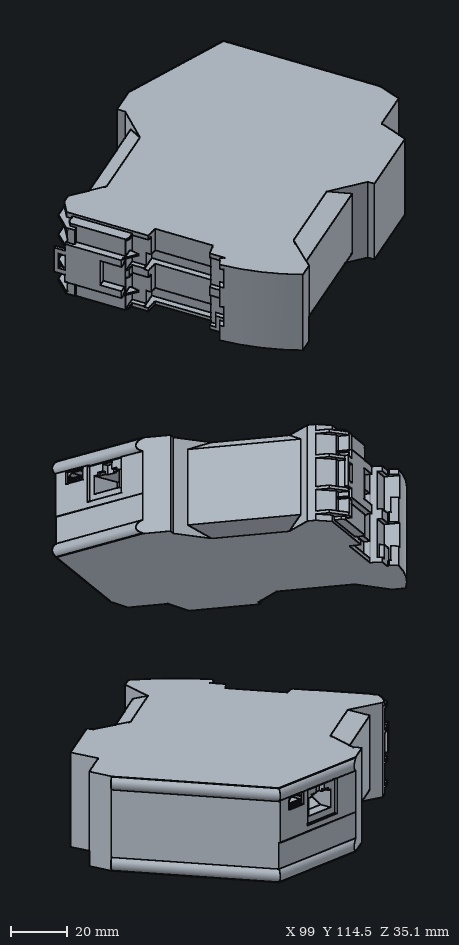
import cadquery as cq
import math

width = 99.0
height = 114.5
thickness = 35.1

bead_height = 1.1
bead_width = 4.8
bead_centre = 2.6
bead_end_x = 79.5
bead_embed = 0.6

body_top = height - bead_height
slope_foot_y = 74.6
slope_top_x = 19.2
shoulder_x = 88.2
shoulder_y = 109.9
step_low_y = 90.9
step_high_y = 95.0
head_bottom_y = 64.3
lower_left_x = 3.2
lower_right_x = 95.9
head_right_x = 96.5
waist_left_x = 13.6
waist_right_x = 85.4
waist_top_y = 53.7
waist_bottom_y = 25.0
foot_top_y = 14.7
base_y = 6.5
foot_chamfer_x = 6.4
foot_chamfer_y = 11.6
notch_floor_y = 10.9
notch_left_x = 37.8
notch_left_top_x = 38.5
notch_right_x = 61.4
notch_right_top_x = 60.7
hook_root_x = 67.2
hook_nose = (65.7, 5.5)
hook_tip = (67.0, 2.4)
belly_mid = (82.4, 4.8)
belly_end_y = 9.4

terminal_left_x = 7.1
terminal_right_x = 92.3
terminal_bevel_z = 3.8

pocket_floor_y = 8.2
pocket_left_x = 30.8
pocket_spans = ((1.8, 15.8), (19.5, 33.2))
groove_spans = ((1.6, 7.8), (19.0, 25.2))
groove_floor_y = 13.2
groove_start_x = 36.2
hook_cut_x = 68.5
hook_undercut_y = 4.9
hook_cut_spans = ((7.0, 15.8), (24.8, 33.2))
hook_block_left_x = 62.9
hook_block_slope = 0.8

latch_left_x = 8.6
latch_right_x = 31.6
latch_bottom_y = 2.6
latch_chamfer_x = 0.9
latch_chamfer_y = 1.4
latch_margin_z = 1.1
post_left_x = 9.0
post_right_x = 11.8
rib_thickness = 1.1
rib_bottoms = (2.3, 11.2, 22.8, 31.7)
rib_span = (rib_bottoms[0], rib_bottoms[-1] + rib_thickness)
rib_foot_y = 1.1
rib_wall_y = 5.3
rib_wall_slope = (foot_chamfer_x - lower_left_x) / (foot_chamfer_y - base_y)
rib_wall_x = lower_left_x + rib_wall_slope * (foot_chamfer_y - rib_wall_y)
tongue_z = (8.7, 26.2)
tongue_right_x = 30.3
tab_left_x = 4.4
tab_thickness = 1.1
tab_z = (11.9, 23.1)
tab_slot_x = (6.0, 8.7)
tab_slot_z = (14.2, 20.8)
tongue_notch_x = 22.2
cheek_thickness = 0.7
cheek_nose = (34.5, 5.5)
cheek_nose_top = (31.7, 6.2)
cheek_nose_bottom_y = 1.4

panel_lead_x = 0.5
panel_bottom_z = 14.8

socket_top_z = 30.3
jack_recess_depth = 1.0
usb_recess_depth = 0.6
jack_recess_s = (10.6, 27.4)
jack_recess_z = 17.1
jack_s = (12.8, 25.1)
jack_z = (19.7, 26.3)
jack_depth = 11.5
jack_ramp_start = 4.6
jack_ramp_end_z = 23.7
jack_clip_steps = (
    ((14.2, 23.4), 27.2, 1.1),
    ((16.5, 20.8), 29.8, 2.3),
)
usb_recess_s = (29.7, 37.9)
usb_recess_z = 25.6
usb_s = (30.0, 37.1)
usb_z = (26.3, 29.5)
usb_corner = 1.1
usb_depth = 7.4
usb_tongue_s = (30.6, 36.5)
usb_tongue_z = (27.0, 27.6)


def box(x_span, y_span, z_span):
    """Axis-aligned box between the given limits."""
    size = [span[1] - span[0] for span in (x_span, y_span, z_span)]
    corner = (x_span[0], y_span[0], z_span[0])
    return cq.Workplane("XY").box(*size, centered=False).translate(corner)


def plate(points, z_span):
    """Polygon in XY extruded between two Z levels."""
    sketch = cq.Workplane("XY").workplane(offset=z_span[0]).polyline(points).close()
    return sketch.extrude(z_span[1] - z_span[0])


def make_body():
    return (
        cq.Workplane("XY")
        .moveTo(0, head_bottom_y)
        .lineTo(0, slope_foot_y)
        .lineTo(slope_top_x, body_top)
        .lineTo(bead_end_x, body_top)
        .lineTo(shoulder_x, shoulder_y)
        .lineTo(shoulder_x, step_high_y)
        .lineTo(width, step_low_y)
        .lineTo(width, head_bottom_y)
        .lineTo(head_right_x, head_bottom_y)
        .lineTo(waist_right_x, waist_top_y)
        .lineTo(waist_right_x, waist_bottom_y)
        .lineTo(lower_right_x, foot_top_y)
        .lineTo(lower_right_x, belly_end_y)
        .threePointArc(belly_mid, hook_tip)
        .lineTo(*hook_nose)
        .lineTo(hook_root_x, base_y)
        .lineTo(notch_right_x, base_y)
        .lineTo(notch_right_top_x, notch_floor_y)
        .lineTo(notch_left_top_x, notch_floor_y)
        .lineTo(notch_left_x, base_y)
        .lineTo(foot_chamfer_x, base_y)
        .lineTo(lower_left_x, foot_chamfer_y)
        .lineTo(lower_left_x, foot_top_y)
        .lineTo(waist_left_x, waist_bottom_y)
        .lineTo(waist_left_x, waist_top_y)
        .lineTo(lower_left_x, head_bottom_y)
        .close()
        .extrude(thickness)
    )


def make_terminal(waist_x, outer_x, top_end_x, bottom_end_x):
    """Bevelled block in the waist, ending on the sloping waist walls."""
    top_slope = (head_bottom_y - waist_top_y) / (top_end_x - waist_x)
    bottom_slope = (foot_top_y - waist_bottom_y) / (bottom_end_x - waist_x)
    reach = outer_x - waist_x
    outline = [
        (waist_x, waist_bottom_y),
        (waist_x, waist_top_y),
        (outer_x, waist_top_y + top_slope * reach),
        (outer_x, waist_bottom_y + bottom_slope * reach),
    ]
    bevelled = (
        cq.Workplane("XZ")
        .polyline([
            (waist_x, 0),
            (outer_x, terminal_bevel_z),
            (outer_x, thickness - terminal_bevel_z),
            (waist_x, thickness),
        ])
        .close()
        .extrude(-height)
    )
    return plate(outline, (0, thickness)).intersect(bevelled)


def make_bead(centre_z):
    """Segment-shaped ridge along the sloped face and the top face."""
    slope = (body_top - slope_foot_y) / slope_top_x
    start_x = -bead_width
    start = (start_x, slope_foot_y + slope * start_x, centre_z)
    profile_plane = cq.Plane(origin=start, xDir=(0, 0, 1), normal=(1, slope, 0))
    half = bead_width / 2
    path = (
        cq.Workplane("XY", origin=(0, 0, centre_z))
        .polyline([start[:2], (slope_top_x, body_top), (bead_end_x, body_top)])
    )
    bead = (
        cq.Workplane(profile_plane)
        .moveTo(-half, bead_embed)
        .lineTo(-half, 0)
        .threePointArc((0, -bead_height), (half, 0))
        .lineTo(half, bead_embed)
        .close()
        .sweep(path, transition="right")
    )
    return bead.intersect(box((0, width), (0, height), (0, thickness)))


def cut_rail_seat(body):
    """Pockets, grooves and hook relief around the rail notch."""
    for span in pocket_spans:
        body = body.cut(box((pocket_left_x, notch_left_top_x), (0, pocket_floor_y), span))
        body = body.cut(box((notch_right_top_x, hook_cut_x), (hook_undercut_y, pocket_floor_y), span))
    for span in groove_spans:
        body = body.cut(box((groove_start_x, notch_right_top_x), (0, groove_floor_y), span))
    for span in hook_cut_spans:
        body = body.cut(box((notch_right_top_x, hook_cut_x), (0, pocket_floor_y), span))
    block = [
        (hook_block_left_x, pocket_floor_y),
        (hook_block_left_x + hook_block_slope, base_y),
        (hook_cut_x, base_y),
        (hook_cut_x, pocket_floor_y),
    ]
    return body.union(plate(block, (pocket_spans[0][0], hook_cut_spans[0][0])))


def make_latch_slider():
    outline = [
        (latch_left_x, base_y),
        (latch_left_x, latch_bottom_y + latch_chamfer_y),
        (latch_left_x + latch_chamfer_x, latch_bottom_y),
        (latch_right_x - latch_chamfer_x, latch_bottom_y),
        (latch_right_x, latch_bottom_y + latch_chamfer_y),
        (latch_right_x, base_y),
    ]
    slider = plate(outline, (latch_margin_z, thickness - latch_margin_z))
    return slider.cut(box((latch_left_x, post_left_x), (0, base_y), rib_span))


def make_latch_ribs():
    """End post of the latch, the sloping wall beside it and the ribs across that wall."""
    ribs = box((post_left_x, post_right_x), (rib_foot_y, base_y), rib_span)
    wall = [
        (lower_left_x, foot_chamfer_y),
        (rib_wall_x, rib_wall_y),
        (post_right_x, rib_wall_y),
        (post_right_x, foot_chamfer_y),
    ]
    ribs = ribs.union(plate(wall, rib_span))
    rib = [
        (lower_left_x, foot_chamfer_y),
        (lower_left_x, base_y),
        (latch_left_x, rib_foot_y),
        (post_right_x, rib_foot_y),
        (post_right_x, foot_chamfer_y),
    ]
    for bottom in rib_bottoms:
        ribs = ribs.union(plate(rib, (bottom, bottom + rib_thickness)))
    return ribs


def make_latch_tongue():
    """Release tongue with a slotted pull tab, an open-ended notch and two catch cheeks."""
    tongue = box((post_left_x, tongue_right_x), (0, latch_bottom_y), tongue_z)
    tongue = tongue.union(box((latch_left_x, post_left_x), (0, tab_thickness), tongue_z))
    tongue = tongue.union(box((tab_left_x, latch_left_x), (0, tab_thickness), tab_z))
    tongue = tongue.cut(box(tab_slot_x, (0, base_y), tab_slot_z))
    tongue = tongue.cut(box((tongue_notch_x, tongue_right_x), (0, latch_bottom_y), tab_z))
    cheek = [
        (latch_left_x, rib_wall_y),
        (latch_left_x, 0),
        (tongue_right_x, 0),
        (tongue_right_x, cheek_nose_bottom_y),
        cheek_nose,
        cheek_nose_top,
        (tongue_right_x, cheek_nose_top[1]),
    ]
    for bottom in (tongue_z[0], tongue_z[1] - cheek_thickness):
        tongue = tongue.union(plate(cheek, (bottom, bottom + cheek_thickness)))
    return tongue


slope_length = math.hypot(slope_top_x, body_top - slope_foot_y)
slope_dir = (slope_top_x / slope_length, (body_top - slope_foot_y) / slope_length, 0)
slope_inward = (slope_dir[1], -slope_dir[0], 0)
slope_plane = cq.Plane(origin=(0, slope_foot_y, 0), xDir=slope_dir, normal=slope_inward)


def slope_block(s_span, z_span, depth_start, depth):
    """Block sunk square to the sloped face."""
    return (
        cq.Workplane(slope_plane)
        .workplane(offset=depth_start)
        .moveTo(s_span[0], z_span[0])
        .rect(s_span[1] - s_span[0], z_span[1] - z_span[0], centered=False)
        .extrude(depth)
    )


def make_panel():
    z_span = (panel_bottom_z, thickness - bead_centre)
    wedge = [(0, slope_foot_y), (slope_top_x - panel_lead_x, body_top), (slope_top_x, body_top)]
    return plate(wedge, z_span)


def make_recess(s_span, bottom_z, depth):
    """Rectangular recess through the panel, reaching up to the bead."""
    return slope_block(s_span, (bottom_z, socket_top_z), -panel_lead_x, panel_lead_x + depth)


def make_jack_cavity():
    """Recess, ramped jack opening and its stepped clip slot."""
    cavity = make_recess(jack_recess_s, jack_recess_z, jack_recess_depth)
    start = (slope_dir[0] * jack_s[0], slope_foot_y + slope_dir[1] * jack_s[0], 0)
    side_plane = cq.Plane(origin=start, xDir=slope_inward, normal=[-c for c in slope_dir])
    end_depth = jack_recess_depth + jack_depth
    opening = (
        cq.Workplane(side_plane)
        .polyline([
            (jack_recess_depth, jack_z[0]),
            (jack_recess_depth + jack_ramp_start, jack_z[0]),
            (end_depth, jack_ramp_end_z),
            (end_depth, jack_z[1]),
            (jack_recess_depth, jack_z[1]),
        ])
        .close()
        .extrude(jack_s[0] - jack_s[1])
    )
    cavity = cavity.union(opening)
    for s_span, top_z, depth in jack_clip_steps:
        cavity = cavity.union(slope_block(s_span, (jack_z[1], top_z), jack_recess_depth, depth))
    return cavity


def make_usb_cavity():
    """Recess with a socket that has two cut upper corners and a contact tongue."""
    recess = make_recess(usb_recess_s, usb_recess_z, usb_recess_depth)
    socket = (
        cq.Workplane(slope_plane)
        .workplane(offset=usb_recess_depth)
        .polyline([
            (usb_s[0], usb_z[0]),
            (usb_s[1], usb_z[0]),
            (usb_s[1], usb_z[1] - usb_corner),
            (usb_s[1] - usb_corner, usb_z[1]),
            (usb_s[0] + usb_corner, usb_z[1]),
            (usb_s[0], usb_z[1] - usb_corner),
        ])
        .close()
        .extrude(usb_depth)
    )
    tongue = slope_block(usb_tongue_s, usb_tongue_z, usb_recess_depth, usb_depth)
    return recess.union(socket).cut(tongue)


result = make_body()
result = result.union(make_terminal(waist_left_x, terminal_left_x, lower_left_x, lower_left_x))
result = result.union(make_terminal(waist_right_x, terminal_right_x, head_right_x, lower_right_x))
result = result.union(make_panel())
result = result.cut(make_jack_cavity()).cut(make_usb_cavity())
for bead_z in (bead_centre, thickness - bead_centre):
    result = result.union(make_bead(bead_z))
result = result.union(make_latch_slider())
result = cut_rail_seat(result)
result = result.union(make_latch_ribs()).union(make_latch_tongue())